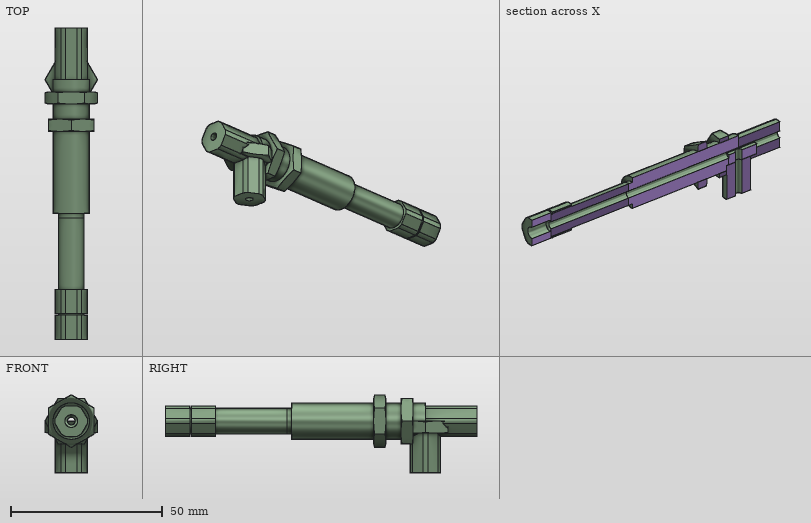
import cadquery as cq
import math


BORE_DIA = 2.5
TIP_BORE_DIA = 4.2

FITTING_FLATS = 10.0
FITTING_CORNER_DIA = 10.7
FITTING_REACH = 17.0

NUT_FLATS = 15.0
NUT_THICKNESS = 4.0
NUT_FACE_DIA = 15.0
CHAMFER_ANGLE = 15.0

TIP_LENGTH = 8.0
TIP_GAP = 0.5
TIP_BORE_TAPER = 0.5
LOCKNUT_LENGTH = 8.0
NOSE_START = 40.0
BARREL_START = 41.5
BARREL_LENGTH = 44.0
FRONT_NUT_START = 68.5
REAR_NUT_START = 77.5

ROD_DIA = 8.5
BARREL_DIA = 12.0

LOCKNUT_START = TIP_LENGTH + TIP_GAP
REAR_NUT_END = REAR_NUT_START + NUT_THICKNESS
CORNER_Y = BARREL_START + BARREL_LENGTH
HALF_HEX_STEP = 30.0
HEX_CORNER_RATIO = 2 / math.sqrt(3)


def cylinder(diameter, length):
    return cq.Workplane("XY").circle(diameter / 2).extrude(length)


def hexagon(flats, length):
    """Hexagonal prism along Z with two corners on the X axis."""
    return cq.Workplane("XY").polygon(6, flats * HEX_CORNER_RATIO).extrude(length)


def along_y(body, start):
    """Lay a body built up from Z = 0 along +Y, with its base at Y = start."""
    return body.rotate((0, 0, 0), (1, 0, 0), -90).translate((0, start, 0))


def down_branch(body, drop):
    """Hang a body built up from Z = 0 below the elbow corner, with its top at Z = -drop."""
    return body.rotate((0, 0, 0), (1, 0, 0), 180).translate((0, CORNER_Y, -drop))


def rounded_hexagon(length):
    """Hexagonal prism with its six long corners turned to a cylinder."""
    return hexagon(FITTING_FLATS, length).intersect(cylinder(FITTING_CORNER_DIA, length))


def fitting(length, bore):
    return rounded_hexagon(length).cut(cylinder(bore, length))


def nut(bore):
    """Hexagonal nut with both faces chamfered down to a circle that touches the flats."""
    face_radius = NUT_FACE_DIA / 2
    corner_radius = NUT_FLATS * HEX_CORNER_RATIO / 2
    drop = (corner_radius - face_radius) * math.tan(math.radians(CHAMFER_ANGLE))
    turned_blank = (
        cq.Workplane("XZ")
        .moveTo(0, 0)
        .lineTo(face_radius, 0)
        .lineTo(corner_radius, drop)
        .lineTo(corner_radius, NUT_THICKNESS - drop)
        .lineTo(face_radius, NUT_THICKNESS)
        .lineTo(0, NUT_THICKNESS)
        .close()
        .revolve(360, (0, 0, 0), (0, 1, 0))
    )
    return hexagon(NUT_FLATS, NUT_THICKNESS).intersect(turned_blank).cut(cylinder(bore, NUT_THICKNESS))


drill_point = (
    cq.Workplane("XY")
    .workplane(offset=TIP_LENGTH - TIP_BORE_TAPER)
    .circle(TIP_BORE_DIA / 2)
    .workplane(offset=TIP_BORE_TAPER)
    .circle(BORE_DIA / 2)
    .loft()
)
tip_body = fitting(TIP_LENGTH, BORE_DIA).cut(cylinder(TIP_BORE_DIA, TIP_LENGTH - TIP_BORE_TAPER))
tip = along_y(tip_body.cut(drill_point), 0)
locknut = along_y(fitting(LOCKNUT_LENGTH, ROD_DIA), LOCKNUT_START)
rod_length = NOSE_START - TIP_LENGTH
rod = along_y(cylinder(ROD_DIA, rod_length).cut(cylinder(BORE_DIA, rod_length)), TIP_LENGTH)

front_nut = along_y(nut(BARREL_DIA).rotate((0, 0, 0), (0, 0, 1), HALF_HEX_STEP), FRONT_NUT_START)
rear_nut = along_y(nut(BARREL_DIA), REAR_NUT_START)

clear_width = 2 * NUT_FLATS
ahead_of_corner = cq.Workplane("XZ").rect(clear_width, clear_width).extrude(-REAR_NUT_END)
branch_nut = down_branch(nut(BORE_DIA), 0).cut(ahead_of_corner)
branch_fitting_length = FITTING_REACH - NUT_THICKNESS
branch_fitting = down_branch(fitting(branch_fitting_length, BORE_DIA), NUT_THICKNESS)

branch_nut_space = down_branch(hexagon(NUT_FLATS, NUT_THICKNESS), 0).cut(ahead_of_corner)
branch_fitting_space = down_branch(rounded_hexagon(branch_fitting_length), NUT_THICKNESS)
rear_nut = rear_nut.cut(branch_fitting_space)

nose = along_y(cylinder(ROD_DIA, BARREL_START - NOSE_START), NOSE_START)
barrel = along_y(cylinder(BARREL_DIA, BARREL_LENGTH), BARREL_START).union(nose)
barrel = barrel.cut(along_y(cylinder(BORE_DIA, CORNER_Y), 0))
barrel = barrel.cut(branch_nut_space).cut(branch_fitting_space)

rear_fitting = along_y(fitting(FITTING_REACH, BORE_DIA), CORNER_Y)
rear_fitting = rear_fitting.cut(branch_nut_space).cut(branch_fitting_space)

result = cq.Compound.makeCompound(
    [
        tip.val(),
        locknut.val(),
        rod.val(),
        barrel.val(),
        front_nut.val(),
        rear_nut.val(),
        branch_nut.val(),
        branch_fitting.val(),
        rear_fitting.val(),
    ]
)